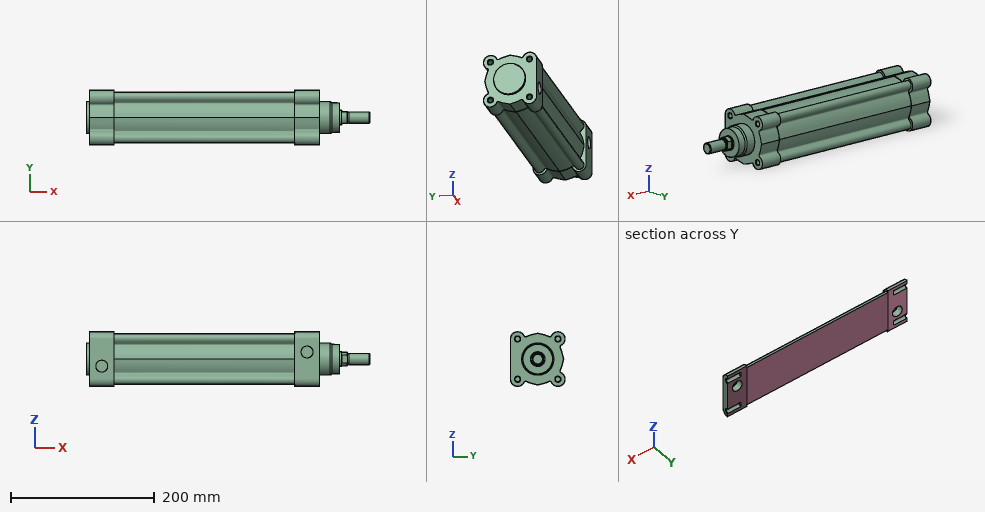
import cadquery as cq
import math


boss_length = 4.0
cap_length = 34.5
barrel_length = 250.5
collar_length = 28.0
wiper_length = 2.5
total_length = 394.0

rear_cap_x = boss_length
barrel_x = rear_cap_x + cap_length
front_cap_x = barrel_x + barrel_length
collar_x = front_cap_x + cap_length
wiper_x = collar_x + collar_length
rod_x = wiper_x + wiper_length

cap_width = 76.0
bolt_offset = 28.0
cap_lobe_radius = cap_width / 2 - bolt_offset
cap_body_radius = 35.0
cap_ridge_half_width = 8.5
cap_neck_fillet = 2.5
boss_radius = 22.5
bolt_hole_radius = 3.5
bolt_hole_depth = 23.5
bolt_chamfer = 0.8
port_radius = 8.3
port_depth = 15.8
port_offset = 10.0

collar_band_length = 14.5
collar_chamfer_length = 2.5
collar_cone_radius = 21.0
collar_tip_radius = 20.5
wiper_radius = 10.2

barrel_radius = 34.5
barrel_ridge_half_width = 6.5
rib_offset = 28.8
rib_radius = 6.5
rib_neck_fillet = 2.0

rod_radius = 10.0
shank_length = 8.5
shank_chamfer = 1.0
relief_length = 2.0
relief_radius = 7.5
thread_radius = 8.0
thread_chamfer = 1.0
flat_start = 0.8
flat_distance = 8.3

CORNERS = [(y * bolt_offset, z * bolt_offset) for y in (-1, 1) for z in (-1, 1)]


def section_at(x):
    """Workplane across the axis: local x is Y, local y is Z, and it extrudes along +X."""
    return cq.Workplane("YZ", origin=(x, 0, 0))


def revolved(profile):
    """Solid of revolution about the X axis from (x, radius) points."""
    return cq.Workplane("XY").polyline(profile).close().revolve(360, (0, 0, 0), (1, 0, 0))


def ridged_body(x, length, radius, ridge_half_width):
    """Round bar whose four sides each rise to a low ridge between two flats tangent to the round."""
    tangent_angle = math.asin(ridge_half_width / radius)
    peak_radius = radius / math.cos(tangent_angle)

    def point(distance, angle):
        return (distance * math.cos(angle), distance * math.sin(angle))

    outline = section_at(x).moveTo(peak_radius, 0)
    last_side = 3
    for side in range(last_side + 1):
        ridge_angle = side * math.pi / 2
        next_ridge_angle = ridge_angle + math.pi / 2
        outline = (
            outline
            .lineTo(*point(radius, ridge_angle + tangent_angle))
            .threePointArc(
                point(radius, ridge_angle + math.pi / 4),
                point(radius, next_ridge_angle - tangent_angle),
            )
        )
        if side < last_side:
            outline = outline.lineTo(*point(peak_radius, next_ridge_angle))
    return outline.close().extrude(length)


def round_necks(body, body_radius, ridge_half_width, fillet_radius):
    """Fillet the lengthwise inside corners, which lie on the round parts of the body."""
    tolerance = 0.05

    def is_neck(edge):
        middle = edge.Center()
        on_round = abs(math.hypot(middle.y, middle.z) - body_radius) < tolerance
        return on_round and min(abs(middle.y), abs(middle.z)) > ridge_half_width + tolerance

    return body.edges("|X").filter(is_neck).fillet(fillet_radius)


def cap_block(x, port_z):
    """Ridged round block with four corner lobes, a flat -Y side and a port in that side."""
    block = ridged_body(x, cap_length, cap_body_radius, cap_ridge_half_width)
    block = block.union(section_at(x).pushPoints(CORNERS).circle(cap_lobe_radius).extrude(cap_length))
    flat_side = (
        section_at(x)
        .center(-cap_width / 4, 0)
        .rect(cap_width / 2, 2 * bolt_offset)
        .extrude(cap_length)
    )
    block = block.union(flat_side)
    block = round_necks(block, cap_body_radius, cap_ridge_half_width, cap_neck_fillet)
    port = (
        cq.Workplane("XZ", origin=(x + cap_length / 2, -cap_width / 2, port_z))
        .circle(port_radius)
        .extrude(-port_depth)
    )
    return block.cut(port)


def bolt_holes(x, direction):
    """Four blind corner holes with chamfered mouths, starting at x and going in `direction`."""
    mouth_radius = bolt_hole_radius + bolt_chamfer
    profile = [
        (x, 0),
        (x, mouth_radius),
        (x + direction * bolt_chamfer, bolt_hole_radius),
        (x + direction * bolt_hole_depth, bolt_hole_radius),
        (x + direction * bolt_hole_depth, 0),
    ]
    hole = revolved(profile)
    holes = cq.Workplane()
    for y, z in CORNERS:
        holes = holes.add(hole.translate((0, y, z)))
    return holes.combine()


def make_rear_cap():
    boss = section_at(0).circle(boss_radius).extrude(boss_length)
    cap = cap_block(rear_cap_x, -port_offset).union(boss)
    return cap.cut(bolt_holes(rear_cap_x, 1))


def make_front_cap():
    band_end = collar_x + collar_band_length
    collar = revolved([
        (collar_x, 0),
        (collar_x, boss_radius),
        (band_end, boss_radius),
        (band_end + collar_chamfer_length, collar_cone_radius),
        (wiper_x, collar_tip_radius),
        (wiper_x, wiper_radius),
        (rod_x, wiper_radius),
        (rod_x, 0),
    ])
    cap = cap_block(front_cap_x, port_offset).union(collar)
    return cap.cut(bolt_holes(collar_x, -1))


def make_barrel():
    """Ridged round barrel with four diagonal ribs, each pair of opposite ribs being one slot shape."""
    rib_span = 2 * (math.hypot(rib_offset, rib_offset) + rib_radius)
    barrel = ridged_body(barrel_x, barrel_length, barrel_radius, barrel_ridge_half_width)
    for angle in (45, -45):
        ribs = section_at(barrel_x).slot2D(rib_span, 2 * rib_radius, angle).extrude(barrel_length)
        barrel = barrel.union(ribs)
    return round_necks(barrel, barrel_radius, barrel_ridge_half_width, rib_neck_fillet)


def make_piston_rod():
    shank_end = rod_x + shank_length
    thread_x = shank_end + relief_length
    rod = revolved([
        (rod_x, 0),
        (rod_x, rod_radius),
        (shank_end - shank_chamfer, rod_radius),
        (shank_end, rod_radius - shank_chamfer),
        (shank_end, relief_radius),
        (thread_x, relief_radius),
        (thread_x, thread_radius),
        (total_length - thread_chamfer, thread_radius),
        (total_length, thread_radius - thread_chamfer),
        (total_length, 0),
    ])
    flat_length = shank_length - flat_start
    for side in (-1, 1):
        waste = cq.Workplane("XY").box(flat_length, rod_radius, 2 * rod_radius).translate((
            rod_x + flat_start + flat_length / 2,
            side * (flat_distance + rod_radius / 2),
            0,
        ))
        rod = rod.cut(waste)
    return rod


rear_cap = make_rear_cap()
barrel = make_barrel()
front_cap = make_front_cap()
piston_rod = make_piston_rod()

result = cq.Compound.makeCompound([
    rear_cap.val(),
    barrel.val(),
    front_cap.val(),
    piston_rod.val(),
])